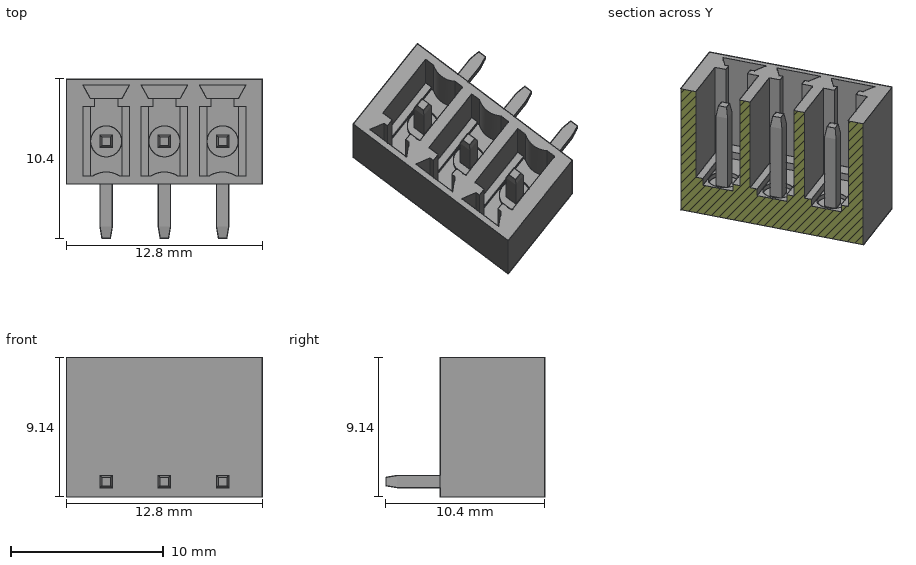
import cadquery as cq


BODY_LENGTH = 12.83
BODY_DEPTH = 6.86
BODY_HEIGHT = 9.14
POLE_COUNT = 3
PITCH = 3.81

PIN_WIDTH = 0.82
PIN_TIP_WIDTH = 0.56
PIN_TAPER = 0.76
PIN_REACH = 3.55
PIN_AXIS_Y = 2.79
PIN_AXIS_Z = 1.015
PIN_TOP_GAP = 1.27

SOCKET_WIDTH = 3.05
CHANNEL_WIDTH = 2.07
NECK_WIDTH = 1.52
FRONT_WALL = 0.51
SOCKET_BACK_Y = 5.08
KEY_FRONT_Y = 5.59
KEY_BACK_Y = 6.48
RIB_WIDTH = 1.78
RIB_HEIGHT = 0.28

CHANNEL_FLOOR = 2.2
LEDGE_STEP = 0.5
LEDGE_FLOOR = CHANNEL_FLOOR + LEDGE_STEP
KEY_FLOOR = LEDGE_FLOOR
RECESS_DIAMETER = 2.03
RECESS_DEPTH = 0.3


def box_between(width, y_start, y_end, z_start, z_end):
    """Box centred on X that spans the given Y and Z ranges."""
    return (
        cq.Workplane("XY", origin=(0, 0, z_start))
        .center(0, (y_start + y_end) / 2)
        .rect(width, y_end - y_start)
        .extrude(z_end - z_start)
    )


def wall_rib():
    """Full-height round-faced rib on the inside of the pin-exit wall."""
    half_width = RIB_WIDTH / 2
    return (
        cq.Workplane("XY")
        .moveTo(-half_width, 0)
        .lineTo(-half_width, FRONT_WALL)
        .threePointArc((0, FRONT_WALL + RIB_HEIGHT), (half_width, FRONT_WALL))
        .lineTo(half_width, 0)
        .close()
        .extrude(BODY_HEIGHT)
    )


def key_slot():
    """Dovetail slot behind the socket, wider towards the back wall."""
    return (
        cq.Workplane("XY", origin=(0, 0, KEY_FLOOR))
        .moveTo(-CHANNEL_WIDTH / 2, KEY_FRONT_Y)
        .lineTo(CHANNEL_WIDTH / 2, KEY_FRONT_Y)
        .lineTo(SOCKET_WIDTH / 2, KEY_BACK_Y)
        .lineTo(-SOCKET_WIDTH / 2, KEY_BACK_Y)
        .close()
        .extrude(BODY_HEIGHT - KEY_FLOOR)
    )


def socket():
    """Cavity for one pole: main opening, deeper channel, neck, key slot and pin recess."""
    opening = box_between(SOCKET_WIDTH, FRONT_WALL, SOCKET_BACK_Y, LEDGE_FLOOR, BODY_HEIGHT)
    channel = box_between(CHANNEL_WIDTH, FRONT_WALL, SOCKET_BACK_Y, CHANNEL_FLOOR, BODY_HEIGHT)
    neck = box_between(NECK_WIDTH, PIN_AXIS_Y, KEY_FRONT_Y, CHANNEL_FLOOR, BODY_HEIGHT)
    recess = (
        cq.Workplane("XY", origin=(0, PIN_AXIS_Y, CHANNEL_FLOOR - RECESS_DEPTH))
        .circle(RECESS_DIAMETER / 2)
        .extrude(BODY_HEIGHT - CHANNEL_FLOOR + RECESS_DEPTH)
    )
    return opening.union(channel).union(neck).union(key_slot()).union(recess).cut(wall_rib())


def pin_leg(plane, length):
    """Square bar along the plane normal, starting at its origin and tapered at the far end."""
    shank_length = length - PIN_TAPER
    shank = cq.Workplane(plane).rect(PIN_WIDTH, PIN_WIDTH).extrude(shank_length)
    tip = (
        cq.Workplane(plane)
        .workplane(offset=shank_length)
        .rect(PIN_WIDTH, PIN_WIDTH)
        .workplane(offset=PIN_TAPER)
        .rect(PIN_TIP_WIDTH, PIN_TIP_WIDTH)
        .loft(combine=True, ruled=True)
    )
    return shank.union(tip)


def pin():
    """Right-angle pin with an upright contact leg and a level solder leg."""
    corner = (0, PIN_AXIS_Y, PIN_AXIS_Z)
    upright = pin_leg(cq.Plane(corner, (1, 0, 0), (0, 0, 1)), BODY_HEIGHT - PIN_TOP_GAP - PIN_AXIS_Z)
    level = pin_leg(cq.Plane(corner, (1, 0, 0), (0, -1, 0)), PIN_AXIS_Y + PIN_REACH)
    return upright.union(level)


result = box_between(BODY_LENGTH, 0, BODY_DEPTH, 0, BODY_HEIGHT)
for pole in range(POLE_COUNT):
    pole_x = (pole - (POLE_COUNT - 1) / 2) * PITCH
    result = result.cut(socket().translate((pole_x, 0, 0)))
    result = result.union(pin().translate((pole_x, 0, 0)))